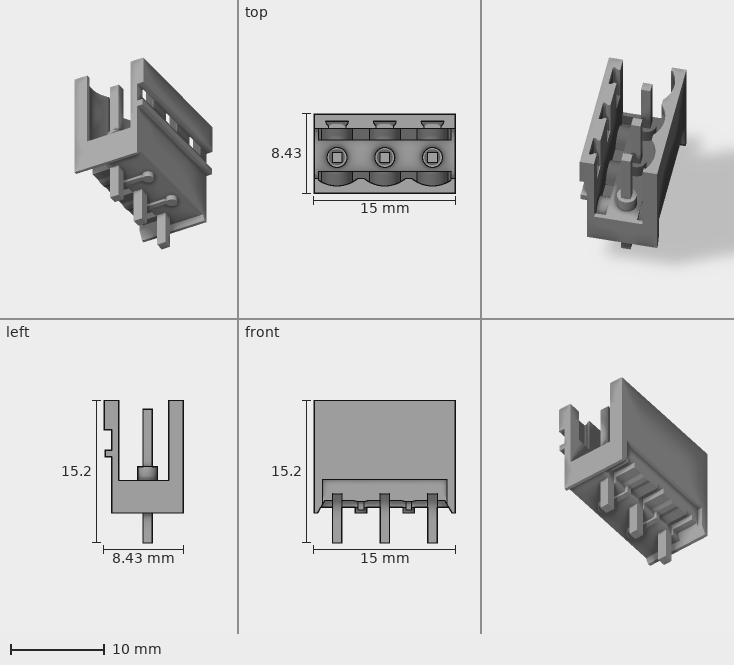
import cadquery as cq
import math

PITCH = 5.08
PIN_COUNT = 3
pin_places = [(i - (PIN_COUNT - 1) / 2) * PITCH for i in range(PIN_COUNT)]
gap_places = [x + PITCH / 2 for x in pin_places[:-1]]

PIN_WIDTH = 1.02
PIN_TOP = 11.06
PIN_BOTTOM = -3.2

LENGTH = 15.04
HEIGHT = 12.0
FRONT = -3.81
BACK = 3.84
FRONT_WALL_INSIDE = -2.24
BACK_WALL_INSIDE = 3.07
FLOOR = 3.47
LIP_BACK = 4.62
LIP_BOTTOM = 8.84
LEDGE_BACK = 4.52
LEDGE_TOP = 6.69
LEDGE_BOTTOM = 5.97

COLLAR_DIAMETER = 2.12
COLLAR_TOP = 4.95

TROUGH_LENGTH = 14.08
TROUGH_BOTTOM = 2.03
STRIP_FRONT = -1.515
STRIP_BACK = 1.875
HUMP_TOP = FLOOR - 0.06
HUMP_RADIUS = 1.48
HUMP_HALF_ARC = math.radians(58)
HUMP_HALF_WIDTH = 1.65

SCALLOP_DEPTH = 0.79
SCALLOP_HALF_CHORD = 2.2

KEY_BACK = 3.9
KEY_BACK_HALF = 1.18
KEY_MOUTH_HALF = 0.925
KEY_FLARE_END = 3.645
KEY_FLARE_START = 3.33
KEY_BOTTOM = 7.84

RECESS_LENGTH = 13.25
RECESS_TOP = 3.55
RECESS_DEPTH = 0.55

BASE_BOTTOM = 0.6
FRONT_BOTTOM = 1.33
FRONT_STEP = -0.7
FOOT_WIDTH = 0.37
FOOT_TOP_INSIDE = 6.39
FOOT_SLOPE = (LENGTH / 2 - FOOT_WIDTH - FOOT_TOP_INSIDE) / FRONT_BOTTOM
TAB_DROP = 0.13
TAB_HALF = 0.31
TAB_ROOT_HALF = 0.8
PIN_NOTCH_TOP = 2.03
RIB_WIDTH = 0.61
RIB_FRONT = -1.0
RIB_BOTTOM = 0.31
PEG_DIAMETER = 1.25
PEG_Y = 2.4


def block(x_size, y0, y1, z0, z1, x=0.0):
    """Box centred on x, between the given Y and Z limits."""
    corner = cq.Workplane("XY", origin=(x - x_size / 2, y0, z0))
    return corner.box(x_size, y1 - y0, z1 - z0, centered=False)


def along_y(sketch, y0, y1):
    """Extrude an XZ outline from y0 to y1."""
    return sketch.extrude(y0 - y1).translate((0, y0, 0))


def shell():
    """U-shaped channel with the latch lip and ledge on its back."""
    outline = [
        (FRONT, 0),
        (BACK, 0),
        (BACK, LEDGE_BOTTOM),
        (LEDGE_BACK, LEDGE_BOTTOM),
        (LEDGE_BACK, LEDGE_TOP),
        (BACK, LEDGE_TOP),
        (BACK, LIP_BOTTOM),
        (LIP_BACK, LIP_BOTTOM),
        (LIP_BACK, HEIGHT),
        (BACK_WALL_INSIDE, HEIGHT),
        (BACK_WALL_INSIDE, FLOOR),
        (FRONT_WALL_INSIDE, FLOOR),
        (FRONT_WALL_INSIDE, HEIGHT),
        (FRONT, HEIGHT),
    ]
    return cq.Workplane("YZ").polyline(outline).close().extrude(LENGTH / 2, both=True)


def scallop(x):
    """Upright cylinder that hollows the front wall, kept within the trough length."""
    radius = (SCALLOP_HALF_CHORD**2 + SCALLOP_DEPTH**2) / (2 * SCALLOP_DEPTH)
    center_y = FRONT_WALL_INSIDE - SCALLOP_DEPTH + radius
    base = cq.Workplane("XY", origin=(x, center_y, TROUGH_BOTTOM))
    cylinder = base.circle(radius).extrude(HEIGHT - TROUGH_BOTTOM)
    return cylinder.intersect(block(TROUGH_LENGTH, FRONT, FRONT_WALL_INSIDE, TROUGH_BOTTOM, HEIGHT))


def hump(x, y0, y1):
    """Round-topped ridge along Y, just below the floor, its straight sides tangent to the arc."""
    arc_half = HUMP_RADIUS * math.sin(HUMP_HALF_ARC)
    arc_end = HUMP_TOP - HUMP_RADIUS * (1 - math.cos(HUMP_HALF_ARC))
    foot = arc_end - (HUMP_HALF_WIDTH - arc_half) * math.tan(HUMP_HALF_ARC)
    outline = (
        cq.Workplane("XZ")
        .moveTo(x - HUMP_HALF_WIDTH, TROUGH_BOTTOM)
        .lineTo(x - HUMP_HALF_WIDTH, foot)
        .lineTo(x - arc_half, arc_end)
        .threePointArc((x, HUMP_TOP), (x + arc_half, arc_end))
        .lineTo(x + HUMP_HALF_WIDTH, foot)
        .lineTo(x + HUMP_HALF_WIDTH, TROUGH_BOTTOM)
        .close()
    )
    return along_y(outline, y0, y1)


def keyway(x):
    """Dovetail slot, open at the top and into the channel."""
    half = [
        (KEY_MOUTH_HALF, BACK_WALL_INSIDE),
        (KEY_MOUTH_HALF, KEY_FLARE_START),
        (KEY_BACK_HALF, KEY_FLARE_END),
        (KEY_BACK_HALF, KEY_BACK),
    ]
    outline = [(x + dx, y) for dx, y in half] + [(x - dx, y) for dx, y in reversed(half)]
    base = cq.Workplane("XY", origin=(0, 0, KEY_BOTTOM))
    return base.polyline(outline).close().extrude(HEIGHT - KEY_BOTTOM)


def underside_gap(top):
    """Trapezoid between the feet, from the ground up to the given height."""
    ground_half = LENGTH / 2 - FOOT_WIDTH
    top_half = ground_half - FOOT_SLOPE * top
    outline = [(-ground_half, 0), (ground_half, 0), (top_half, top), (-top_half, top)]
    return cq.Workplane("XZ").polyline(outline).close()


def tab(x):
    """Shallow tapered bump under the front wall, midway between two pins."""
    outline = [
        (x - TAB_ROOT_HALF, FRONT_BOTTOM),
        (x - TAB_HALF, FRONT_BOTTOM - TAB_DROP),
        (x + TAB_HALF, FRONT_BOTTOM - TAB_DROP),
        (x + TAB_ROOT_HALF, FRONT_BOTTOM),
    ]
    return along_y(cq.Workplane("XZ").polyline(outline).close(), FRONT + RECESS_DEPTH, FRONT_STEP)


def make_housing():
    """Shell with its floor, wall and underside features, and holes for the pins."""
    body = shell()

    body = body.cut(block(TROUGH_LENGTH, STRIP_BACK, BACK_WALL_INSIDE, TROUGH_BOTTOM, FLOOR))
    body = body.cut(block(TROUGH_LENGTH, FRONT_WALL_INSIDE, STRIP_FRONT, TROUGH_BOTTOM, FLOOR))
    scallop_bottom = FRONT_WALL_INSIDE - SCALLOP_DEPTH
    for x in pin_places:
        body = body.cut(scallop(x))
    for x in pin_places:
        body = body.union(hump(x, STRIP_BACK, BACK_WALL_INSIDE))
        body = body.union(hump(x, scallop_bottom, STRIP_FRONT))
        body = body.cut(keyway(x))

    body = body.cut(block(RECESS_LENGTH, FRONT, FRONT + RECESS_DEPTH, 0, RECESS_TOP))
    body = body.cut(along_y(underside_gap(BASE_BOTTOM), FRONT, BACK))
    body = body.cut(along_y(underside_gap(FRONT_BOTTOM), FRONT, FRONT_STEP))

    for x in gap_places:
        body = body.union(tab(x))
        body = body.union(block(RIB_WIDTH, RIB_FRONT, PEG_Y, RIB_BOTTOM, FRONT_BOTTOM, x))
        peg = cq.Workplane("XY").center(x, PEG_Y).circle(PEG_DIAMETER / 2).extrude(BASE_BOTTOM)
        body = body.union(peg)

    collars = cq.Workplane("XY", origin=(0, 0, FLOOR)).pushPoints([(x, 0) for x in pin_places])
    body = body.union(collars.circle(COLLAR_DIAMETER / 2).extrude(COLLAR_TOP - FLOOR))
    for x in pin_places:
        body = body.cut(block(PIN_WIDTH, -PIN_WIDTH / 2, PIN_WIDTH / 2, 0, COLLAR_TOP, x))
        body = body.cut(block(PIN_WIDTH, FRONT, 0, 0, PIN_NOTCH_TOP, x))
    return body


def make_pin(x):
    """Straight square pin."""
    return block(PIN_WIDTH, -PIN_WIDTH / 2, PIN_WIDTH / 2, PIN_BOTTOM, PIN_TOP, x)


housing = make_housing()
pins = [make_pin(x) for x in pin_places]
result = cq.Compound.makeCompound([housing.solids().val(), *[pin.val() for pin in pins]])